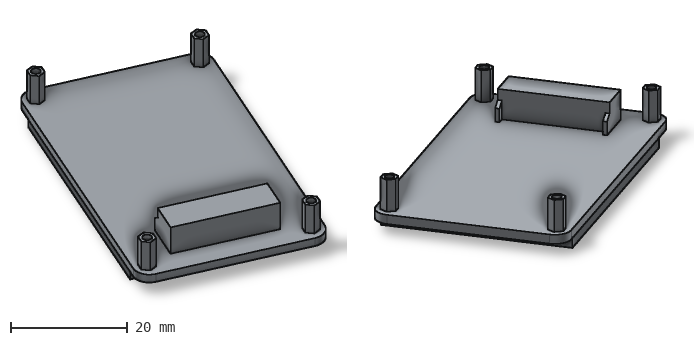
import cadquery as cq

board_length = 58.4
board_width = 35.2
board_thickness = 1.7
corner_radius = 3.0

panel_left = -24.4
panel_right = 23.9
panel_width = 34.45
panel_thickness = 2.35

standoff_height = 5.9
standoff_across_corners = 3.15
standoff_edge_distance = 2.85
standoff_x = board_length / 2 - standoff_edge_distance
standoff_y = 15.05
bore_diameter = 1.7

connector_front = 18.45
connector_back = 24.6
connector_width = 20.15
connector_height = 5.55
arm_reach = 1.4
arm_thickness = 0.75
arm_tip_height = 2.5
arm_root_height = 3.5


def make_board():
    board = cq.Workplane("XY").box(board_length, board_width, board_thickness, centered=(True, True, False))
    return board.edges("|Z").fillet(corner_radius)


def make_panel():
    panel_length = panel_right - panel_left
    panel_center_x = (panel_left + panel_right) / 2
    return (
        cq.Workplane("XY")
        .center(panel_center_x, 0)
        .rect(panel_length, panel_width)
        .extrude(-panel_thickness)
    )


def make_connector():
    """Full-depth profile with the space between the two arms cut away."""
    arm_tip = connector_front - arm_reach
    profile = [
        (arm_tip, 0),
        (connector_back, 0),
        (connector_back, connector_height),
        (connector_front, connector_height),
        (connector_front, arm_root_height),
        (arm_tip, arm_tip_height),
    ]
    body = (
        cq.Workplane("XZ")
        .polyline(profile)
        .close()
        .extrude(connector_width / 2, both=True)
    )
    gap = (
        cq.Workplane("XY")
        .box(arm_reach, connector_width - 2 * arm_thickness, connector_height, centered=(False, True, False))
        .translate((arm_tip, 0, 0))
    )
    return body.cut(gap).translate((0, 0, board_thickness))


standoff_centers = [(x, y) for x in (-standoff_x, standoff_x) for y in (-standoff_y, standoff_y)]
standoffs = (
    cq.Workplane("XY")
    .workplane(offset=board_thickness)
    .pushPoints(standoff_centers)
    .polygon(6, standoff_across_corners)
    .extrude(standoff_height)
)

bores = (
    cq.Workplane("XY")
    .pushPoints(standoff_centers)
    .circle(bore_diameter / 2)
    .extrude(board_thickness + standoff_height)
)

result = make_board().union(make_panel()).union(make_connector()).union(standoffs).cut(bores)